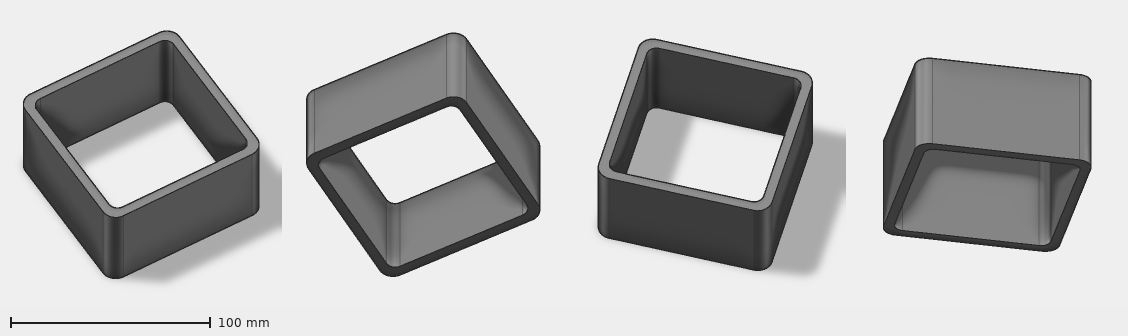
import cadquery as cq

side = 90.0
height = 50.0
wall = 5.0
outer_corner_radius = 7.5
inner_corner_radius = 5.0

opening_side = side - 2 * wall


def rounded_square_prism(width, corner_radius):
    """Square prism standing on the XY plane with rounded vertical edges."""
    prism = cq.Workplane("XY").box(width, width, height, centered=(True, True, False))
    return prism.edges("|Z").fillet(corner_radius)


outer_body = rounded_square_prism(side, outer_corner_radius)
opening = rounded_square_prism(opening_side, inner_corner_radius)
result = outer_body.cut(opening)